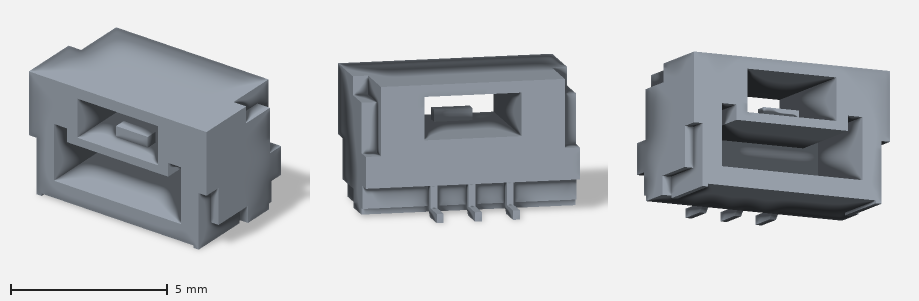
import cadquery as cq

width = 7.0
height = 4.35
depth = 4.05
underside = 0.09

rear_step_y = 3.4
undercut_y = 3.54
undercut_top = 1.06

upper_recess_inset = 0.5
upper_recess_front = 2.155
upper_recess_shelf = 3.74
upper_recess_inner_y = 3.445
upper_recess_bottom = 2.09
lower_recess_inset = 0.31
lower_recess_rear = 2.255
lower_recess_shelf = 0.71
lower_recess_inner_y = 0.66
lower_recess_top = 2.045

foot_width = 0.195
foot_length = 2.21

cavity_width = 5.01
cavity_bottom = 0.71
cavity_top = 2.76
cavity_depth = 3.15
shelf_width = 3.975
shelf_bottom = 2.26

window_width = 3.18
window_bottom = 2.55
window_top = 3.96
catch_width = 1.25
catch_height = 0.39
catch_front = 0.77
catch_length = 0.42

pin_count = 3
pin_pitch = 1.245
pin_width = 0.225
pin_thickness = 0.3
pin_leg_rear = 3.94
pin_bend_y = 3.84
pin_tip_y = 4.85


def block(x_min, x_max, y_min, y_max, z_min, z_max):
    """Box given by its limits along each axis."""
    size = (x_max - x_min, y_max - y_min, z_max - z_min)
    return cq.Workplane("XY").box(*size, centered=False).translate((x_min, y_min, z_min))


def centered_block(size_x, y_min, y_max, z_min, z_max):
    """Box symmetric about x = 0."""
    return block(-size_x / 2, size_x / 2, y_min, y_max, z_min, z_max)


def side_profile(points, x_min, thickness):
    """Closed (y, z) outline extruded along +X from x_min."""
    return cq.Workplane("YZ", origin=(x_min, 0, 0)).polyline(points).close().extrude(thickness)


def make_housing():
    outline = [
        (0, underside),
        (rear_step_y, underside),
        (rear_step_y, pin_thickness),
        (undercut_y, pin_thickness),
        (undercut_y, undercut_top),
        (depth, undercut_top),
        (depth, height),
        (0, height),
    ]
    return side_profile(outline, -width / 2, width)


def make_left_recesses():
    upper_outline = [
        (upper_recess_front, height),
        (upper_recess_front, upper_recess_shelf),
        (upper_recess_inner_y, upper_recess_shelf),
        (upper_recess_inner_y, upper_recess_bottom),
        (depth, upper_recess_bottom),
        (depth, height),
    ]
    lower_outline = [
        (0, 0),
        (lower_recess_rear, 0),
        (lower_recess_rear, lower_recess_shelf),
        (lower_recess_inner_y, lower_recess_shelf),
        (lower_recess_inner_y, lower_recess_top),
        (0, lower_recess_top),
    ]
    upper = side_profile(upper_outline, -width / 2, upper_recess_inset)
    lower = side_profile(lower_outline, -width / 2, lower_recess_inset)
    return upper.union(lower)


def make_left_foot():
    outer_x = -width / 2 + lower_recess_inset
    return block(outer_x, outer_x + foot_width, 0, foot_length, 0, lower_recess_shelf)


def make_cavity():
    cavity = centered_block(cavity_width, 0, cavity_depth, cavity_bottom, cavity_top)
    return cavity.cut(centered_block(shelf_width, 0, cavity_depth, shelf_bottom, cavity_top))


def make_pin(x_center):
    outline = [
        (undercut_y, undercut_top),
        (undercut_y, pin_thickness),
        (pin_bend_y, 0),
        (pin_tip_y, 0),
        (pin_tip_y, pin_thickness),
        (pin_leg_rear, pin_thickness),
        (pin_leg_rear, undercut_top),
    ]
    return side_profile(outline, x_center - pin_width / 2, pin_width)


left_recesses = make_left_recesses()
left_foot = make_left_foot()
result = make_housing()
result = result.cut(left_recesses).cut(left_recesses.mirror("YZ"))
result = result.union(left_foot).union(left_foot.mirror("YZ"))

result = result.cut(make_cavity())
result = result.cut(centered_block(window_width, 0, depth, window_bottom, window_top))

catch_rear = catch_front + catch_length
catch_top = window_bottom + catch_height
result = result.union(centered_block(catch_width, catch_front, catch_rear, window_bottom, catch_top))

for index in range(pin_count):
    pin_x = (index - (pin_count - 1) / 2) * pin_pitch
    result = result.union(make_pin(pin_x))